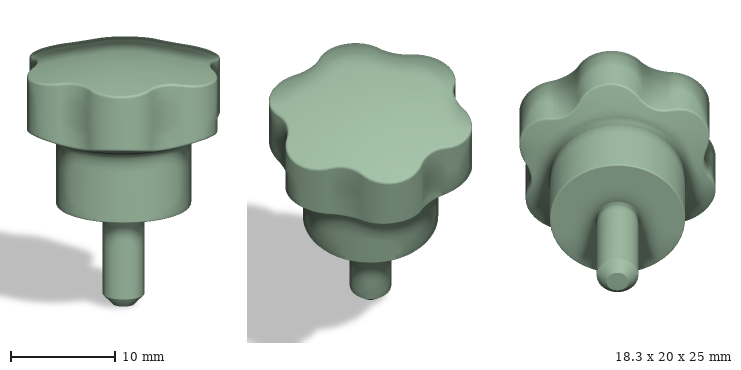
import cadquery as cq
import math

total_height = 25.0
hub_bottom_z = 10.0
hub_radius = 6.5
hub_edge_fillet = 0.15
stud_radius = 2.0
stud_tip_radius = 1.05
stud_tip_height = 1.0
stud_root_fillet = 0.2

hub_overlap = 2.0
stud_overlap = 1.0

lobe_count = 6
grip_radius = 10.0
lobe_radius = 3.5
valley_radius = 3.5

crown_sphere_radius = 40.0
underside_sphere_radius = 22.5
underside_lowest_z = 16.0
grip_edge_fillet = 0.25
neck_fillet = 0.5

lobe_centre_distance = grip_radius - lobe_radius
half_pitch = math.pi / lobe_count
lobe_centre_along = lobe_centre_distance * math.cos(half_pitch)
lobe_centre_across = lobe_centre_distance * math.sin(half_pitch)
arc_centre_gap = lobe_radius + valley_radius
valley_centre_distance = lobe_centre_along + math.sqrt(arc_centre_gap**2 - lobe_centre_across**2)
valley_floor_radius = valley_centre_distance - valley_radius

lobe_share = lobe_radius / arc_centre_gap
tangent_along = lobe_centre_along + lobe_share * (valley_centre_distance - lobe_centre_along)
tangent_across = lobe_centre_across * (1 - lobe_share)
tangent_distance = math.hypot(tangent_along, tangent_across)
tangent_half_angle = math.atan2(tangent_across, tangent_along)


def polar(radius, angle):
    return (radius * math.cos(angle), radius * math.sin(angle))


def grip_outline():
    """Closed outline of alternating valley and lobe arcs, with a valley on +X."""
    outline = cq.Workplane("XY").moveTo(*polar(tangent_distance, -tangent_half_angle))
    for index in range(lobe_count):
        valley_angle = 2 * half_pitch * index
        lobe_angle = valley_angle + half_pitch
        next_valley_angle = valley_angle + 2 * half_pitch
        outline = outline.threePointArc(
            polar(valley_floor_radius, valley_angle),
            polar(tangent_distance, valley_angle + tangent_half_angle),
        )
        outline = outline.threePointArc(
            polar(grip_radius, lobe_angle),
            polar(tangent_distance, next_valley_angle - tangent_half_angle),
        )
    return outline.close()


def sphere(radius, centre_z):
    return cq.Workplane("XY").sphere(radius).translate((0, 0, centre_z))


def make_grip():
    """Lobed prism trimmed by a shallow crown and a rounded underside."""
    crown = sphere(crown_sphere_radius, total_height - crown_sphere_radius)
    underside = sphere(underside_sphere_radius, underside_lowest_z + underside_sphere_radius)
    grip = grip_outline().extrude(total_height).intersect(crown).intersect(underside)
    return grip.edges("not |Z").fillet(grip_edge_fillet)


def make_hub():
    """Cylindrical hub that reaches up into the grip."""
    hub_height = underside_lowest_z + hub_overlap - hub_bottom_z
    hub = cq.Workplane("XY").workplane(offset=hub_bottom_z).circle(hub_radius).extrude(hub_height)
    return hub.faces("<Z").edges().fillet(hub_edge_fillet)


def make_stud():
    """Revolved stud with a conical tip and a rounded root under the hub."""
    root_offset = stud_root_fillet * (1 - math.sqrt(0.5))
    profile = (
        cq.Workplane("XZ")
        .lineTo(stud_tip_radius, 0)
        .lineTo(stud_radius, stud_tip_height)
        .lineTo(stud_radius, hub_bottom_z - stud_root_fillet)
        .threePointArc(
            (stud_radius + root_offset, hub_bottom_z - root_offset),
            (stud_radius + stud_root_fillet, hub_bottom_z),
        )
        .lineTo(stud_radius + stud_root_fillet, hub_bottom_z + stud_overlap)
        .lineTo(0, hub_bottom_z + stud_overlap)
        .close()
    )
    return profile.revolve(360, (0, 0, 0), (0, 1, 0))


def neck_edge(body):
    """Circle where the hub meets the spherical underside."""
    sphere_rise = math.sqrt(underside_sphere_radius**2 - hub_radius**2)
    neck_z = underside_lowest_z + underside_sphere_radius - sphere_rise
    return body.edges(cq.selectors.NearestToPointSelector((0, 0, neck_z)))


knob = make_grip().union(make_hub())
knob = neck_edge(knob).fillet(neck_fillet)
result = knob.union(make_stud())